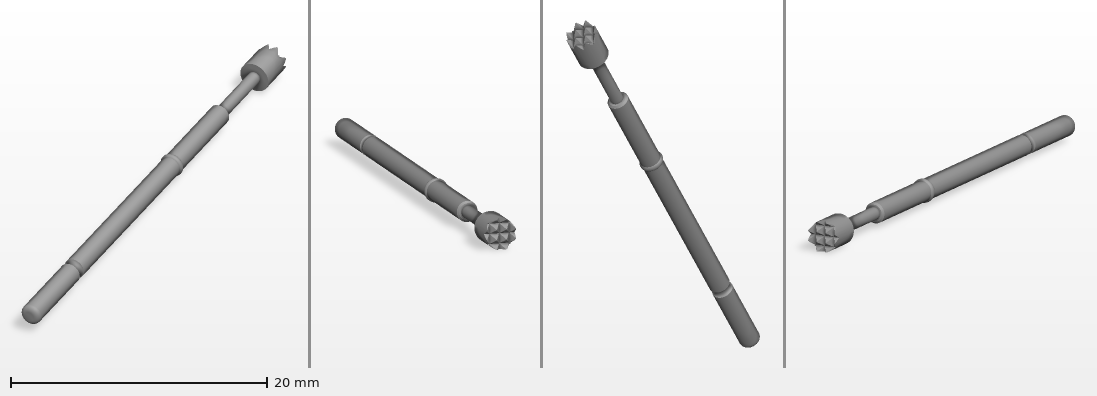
import cadquery as cq

length = 38.7
tail_y = -length / 2
tip_y = length / 2

head_diameter = 2.5
head_length = 2.98
tooth_pitch = 0.8
tooth_depth = 0.65
tooth_grooves = 3

rod_diameter = 1.05

barrel_diameter = 1.7
barrel_length = 30.38
mouth_chamfer = 0.15
tail_round = 0.43

ring_diameter = 1.95
ring_width = 0.5
ring_center = 22.65
groove_width = 0.65
groove_depth = 0.25
groove_center = 6.85


def rod_along_y(diameter, start_y, rod_length):
    """Solid cylinder on the Y axis, running toward +Y from start_y."""
    plane = cq.Plane(origin=(0, start_y, 0), xDir=(1, 0, 0), normal=(0, 1, 0))
    return cq.Workplane(plane).circle(diameter / 2).extrude(rod_length)


def revolve_about_y(profile):
    return profile.revolve(360, (0, 0, 0), (0, 1, 0))


def make_press_ring():
    """Disc whose rim bulges beyond the barrel in an arc."""
    center_y = tail_y + ring_center
    start_y = center_y - ring_width / 2
    end_y = center_y + ring_width / 2
    barrel_radius = barrel_diameter / 2
    profile = (
        cq.Workplane("XY")
        .moveTo(0, start_y)
        .lineTo(barrel_radius, start_y)
        .threePointArc((ring_diameter / 2, center_y), (barrel_radius, end_y))
        .lineTo(0, end_y)
        .close()
    )
    return revolve_about_y(profile)


def make_crimp_groove():
    """Cutter for a groove around the barrel with an arc-shaped floor."""
    center_y = tail_y + groove_center
    start_y = center_y - groove_width / 2
    end_y = center_y + groove_width / 2
    barrel_radius = barrel_diameter / 2
    profile = (
        cq.Workplane("XY")
        .moveTo(barrel_radius, start_y)
        .threePointArc((barrel_radius - groove_depth, center_y), (barrel_radius, end_y))
        .close()
    )
    return revolve_about_y(profile)


def make_barrel():
    barrel = rod_along_y(barrel_diameter, tail_y, barrel_length)
    barrel = barrel.faces(">Y").chamfer(mouth_chamfer)
    barrel = barrel.faces("<Y").edges().fillet(tail_round)
    return barrel.union(make_press_ring()).cut(make_crimp_groove())


def make_rod():
    rod_length = length - barrel_length - head_length
    return rod_along_y(rod_diameter, tail_y + barrel_length, rod_length)


def make_tooth_groove(center_x):
    """Cutter for a V groove along Z through the end face of the head."""
    half_width = tooth_pitch / 2
    return (
        cq.Workplane("XY")
        .moveTo(center_x, tip_y - tooth_depth)
        .lineTo(center_x + half_width, tip_y)
        .lineTo(center_x - half_width, tip_y)
        .close()
        .extrude(head_diameter, both=True)
    )


def make_head():
    """Round head whose end face is cut by two crossing sets of V grooves."""
    head = rod_along_y(head_diameter, tip_y - head_length, head_length)
    for index in range(tooth_grooves):
        offset = (index - (tooth_grooves - 1) / 2) * tooth_pitch
        groove = make_tooth_groove(offset)
        crossing_groove = groove.rotate((0, 0, 0), (0, 1, 0), 90)
        head = head.cut(groove).cut(crossing_groove)
    return head


result = make_barrel().union(make_rod()).union(make_head())